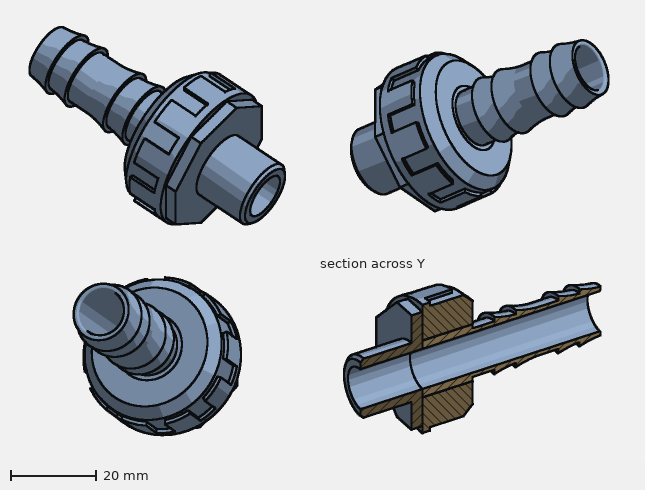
import cadquery as cq
import math


total_length = 66.0
bore_radius = 5.55

tube_length = 35.05
barb_pitch = tube_length / 6
barb_slots = (0, 1, 3, 4)
tube_radius = 6.85
barb_radius = 8.05
barb_sag = 0.2
collar_radius = barb_radius
mouth_fillet = 0.5

nut_start = tube_length
nut_length = 13.9
nut_end = nut_start + nut_length
nut_diameter = 36.0
nut_radius = nut_diameter / 2
recess_floor_radius = 17.0
face_chamfer_length = 2.65
face_chamfer_height = 2.65
pad_start = nut_start + 4.4
recess_end = nut_end - 2.2
recess_count = 10
recess_width = 4.55

octagon_flats = 32.0
octagon_thickness = 3.0
octagon_sides = 8
spigot_radius = 8.3
spigot_chamfer = 0.85


def rod(radius, start, length):
    """Solid cylinder on the X axis."""
    return cq.Workplane("YZ", origin=(start, 0, 0)).circle(radius).extrude(length)


def barb(start):
    """Barb that flares from the tube radius to a sharp rear edge along a hollow flank."""
    end = start + barb_pitch
    middle = (start + barb_pitch / 2, (tube_radius + barb_radius) / 2 - barb_sag)
    profile = (
        cq.Workplane("XY")
        .moveTo(start, 0)
        .lineTo(start, tube_radius)
        .threePointArc(middle, (end, barb_radius))
        .lineTo(end, 0)
        .close()
    )
    return profile.revolve(360, (0, 0, 0), (1, 0, 0))


def make_hose_tail():
    """Barbed tube with a collar that fills the nut, bored through."""
    tail = rod(tube_radius, 0, tube_length).union(rod(collar_radius, nut_start, nut_length))
    for slot in barb_slots:
        tail = tail.union(barb(slot * barb_pitch))
    tail = tail.cut(rod(bore_radius, 0, nut_end))
    mouth_edge = tail.faces("<X").edges(cq.selectors.RadiusNthSelector(0))
    return mouth_edge.fillet(mouth_fillet)


def grip_recess(angle):
    """Straight-sided slot across the rim with a round floor, turned about X by the angle in degrees."""
    length = recess_end - pad_start
    slot = (
        cq.Workplane("YZ", origin=(pad_start, 0, 0))
        .rect(recess_width, nut_diameter)
        .extrude(length)
        .cut(rod(recess_floor_radius, pad_start, length))
    )
    return slot.rotate((0, 0, 0), (1, 0, 0), angle)


def make_nut():
    """Chamfered ring with grip recesses around its rim."""
    chamfer_end = nut_start + face_chamfer_length
    front_radius = recess_floor_radius - face_chamfer_height
    outline = [
        (nut_start, collar_radius),
        (nut_start, front_radius),
        (chamfer_end, recess_floor_radius),
        (pad_start, recess_floor_radius),
        (pad_start, nut_radius),
        (nut_end, nut_radius),
        (nut_end, collar_radius),
    ]
    nut = cq.Workplane("XY").polyline(outline).close().revolve(360, (0, 0, 0), (1, 0, 0))
    for index in range(recess_count // 2):
        nut = nut.cut(grip_recess(index * 360 / recess_count))
    return nut


def make_adaptor():
    """Octagonal wrench flange with a chamfered spigot, bored through."""
    half_corner_angle = 180 / octagon_sides
    across_corners = octagon_flats / math.cos(math.radians(half_corner_angle))
    flange = (
        cq.Workplane("YZ", origin=(nut_end, 0, 0))
        .polygon(octagon_sides, across_corners)
        .extrude(octagon_thickness)
        .rotate((0, 0, 0), (1, 0, 0), half_corner_angle)
    )
    spigot_length = total_length - nut_end
    spigot = rod(spigot_radius, nut_end, spigot_length).faces(">X").chamfer(spigot_chamfer)
    return flange.union(spigot).cut(rod(bore_radius, nut_end, spigot_length))


hose_tail = make_hose_tail()
nut = make_nut()
adaptor = make_adaptor()

result = cq.Compound.makeCompound([hose_tail.val(), nut.val(), adaptor.val()])